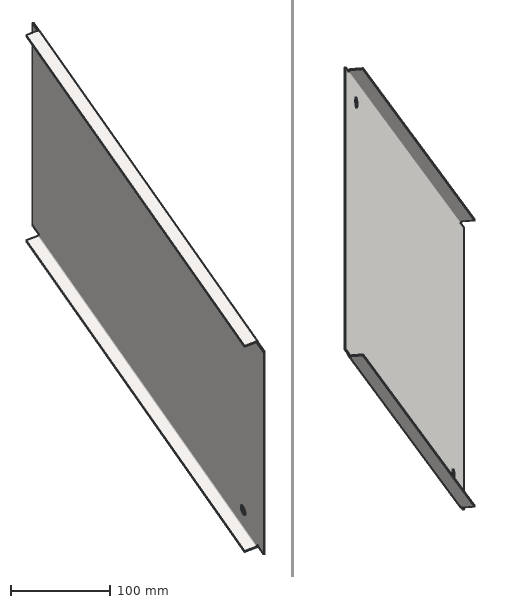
import cadquery as cq

length = 507.0
depth = 15.5
height = 306.0

sheet = 1.5
inner_radius = 1.5
outer_radius = inner_radius + sheet

flange_length = 478.5
panel_height = 300.0

hole_diameter = 10.5
hole_x = 208.5
hole_z = 128.0

front = -depth / 2
back = depth / 2


def rounded_channel():
    """Channel opening toward -Y, with both bends rounded, along the flange length."""
    outer = (
        cq.Workplane("XY")
        .box(flange_length, depth, height)
        .edges("|X and >Y")
        .fillet(outer_radius)
    )
    inner = (
        cq.Workplane("XY")
        .box(flange_length, depth, height - 2 * sheet)
        .edges("|X and >Y")
        .fillet(inner_radius)
        .translate((0, -sheet, 0))
    )
    return outer.cut(inner)


def end_strips():
    """End strips of the back panel, reaching past both ends of the flanges."""
    strip_length = (length - flange_length) / 2
    strip_x = (length - strip_length) / 2
    return (
        cq.Workplane("XY")
        .pushPoints([(-strip_x, back - sheet / 2), (strip_x, back - sheet / 2)])
        .rect(strip_length, sheet)
        .extrude(panel_height / 2, both=True)
    )


def panel_holes():
    """Cutters for the two diagonal holes."""
    return (
        cq.Workplane("XZ", origin=(0, back, 0))
        .pushPoints([(-hole_x, hole_z), (hole_x, -hole_z)])
        .circle(hole_diameter / 2)
        .extrude(back - front)
    )


result = rounded_channel().union(end_strips()).cut(panel_holes())